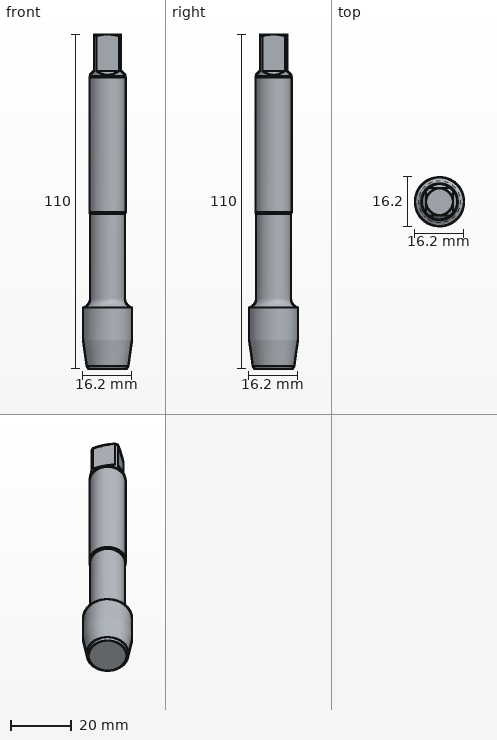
import cadquery as cq
import math

HEAD_DIAMETER = 16.2
TAPER_END_DIAMETER = 13.8
TIP_DIAMETER = 12.4
TIP_CHAMFER_HEIGHT = 1.0
TAPER_TOP = 9.6
HEAD_TOP = 20.2

TOTAL_LENGTH = 110.0
NECK_DIAMETER = 11.5
GRIP_DIAMETER = 12.0
DRIVE_DIAMETER = 11.7
FLARE_RADIUS = 3.0
GRIP_BOTTOM = 51.7
GRIP_TOP = 95.8
GRIP_LOWER_CHAMFER_HEIGHT = 0.7
GRIP_UPPER_CHAMFER_HEIGHT = 0.4

SQUARE_WIDTH = 9.0
SQUARE_LENGTH = 12.0
RUNOUT_ANGLE = 45.0
END_FACE_DIAMETER = 8.8
END_CHAMFER_HEIGHT = 0.5


def make_head():
    """Cylinder with a long lead taper and a short chamfer at the tip."""
    profile = (
        cq.Workplane("XZ")
        .lineTo(TIP_DIAMETER / 2, 0)
        .lineTo(TAPER_END_DIAMETER / 2, TIP_CHAMFER_HEIGHT)
        .lineTo(HEAD_DIAMETER / 2, TAPER_TOP)
        .lineTo(HEAD_DIAMETER / 2, HEAD_TOP)
        .lineTo(0, HEAD_TOP)
        .close()
    )
    return profile.revolve(360, (0, 0, 0), (0, 1, 0))


def make_round_shank():
    """Turned shank, with a concave flare that meets the rim of the head."""
    neck_radius = NECK_DIAMETER / 2
    head_radius = HEAD_DIAMETER / 2
    center_radius = neck_radius + FLARE_RADIUS
    rim_offset = center_radius - head_radius
    flare_height = math.sqrt(FLARE_RADIUS**2 - rim_offset**2)
    flare_top = HEAD_TOP + flare_height
    middle_angle = math.acos(rim_offset / FLARE_RADIUS) / 2
    flare_middle = (
        center_radius - FLARE_RADIUS * math.cos(middle_angle),
        flare_top - FLARE_RADIUS * math.sin(middle_angle),
    )
    profile = (
        cq.Workplane("XZ")
        .moveTo(0, HEAD_TOP)
        .lineTo(head_radius, HEAD_TOP)
        .threePointArc(flare_middle, (neck_radius, flare_top))
        .lineTo(neck_radius, GRIP_BOTTOM - GRIP_LOWER_CHAMFER_HEIGHT)
        .lineTo(GRIP_DIAMETER / 2, GRIP_BOTTOM)
        .lineTo(GRIP_DIAMETER / 2, GRIP_TOP)
        .lineTo(DRIVE_DIAMETER / 2, GRIP_TOP + GRIP_UPPER_CHAMFER_HEIGHT)
        .lineTo(DRIVE_DIAMETER / 2, TOTAL_LENGTH - END_CHAMFER_HEIGHT)
        .lineTo(END_FACE_DIAMETER / 2, TOTAL_LENGTH)
        .lineTo(0, TOTAL_LENGTH)
        .close()
    )
    return profile.revolve(360, (0, 0, 0), (0, 1, 0))


def make_flat_cutter():
    """Prism that mills one drive flat on the +X side, with a sloping runout below it."""
    flat_x = SQUARE_WIDTH / 2
    outer_x = GRIP_DIAMETER / 2
    flat_bottom = TOTAL_LENGTH - SQUARE_LENGTH
    runout_drop = (outer_x - flat_x) * math.tan(math.radians(RUNOUT_ANGLE))
    return (
        cq.Workplane("XZ")
        .moveTo(flat_x, TOTAL_LENGTH)
        .lineTo(flat_x, flat_bottom)
        .lineTo(outer_x, flat_bottom - runout_drop)
        .lineTo(outer_x, TOTAL_LENGTH)
        .close()
        .extrude(GRIP_DIAMETER / 2, both=True)
    )


def make_shank():
    """Round shank with four flats milled around its top end."""
    shank = make_round_shank()
    cutter = make_flat_cutter()
    for side in range(4):
        shank = shank.cut(cutter.rotate((0, 0, 0), (0, 0, 1), 90 * side))
    return shank


head = make_head()
shank = make_shank()

result = cq.Compound.makeCompound([head.val(), shank.val()])